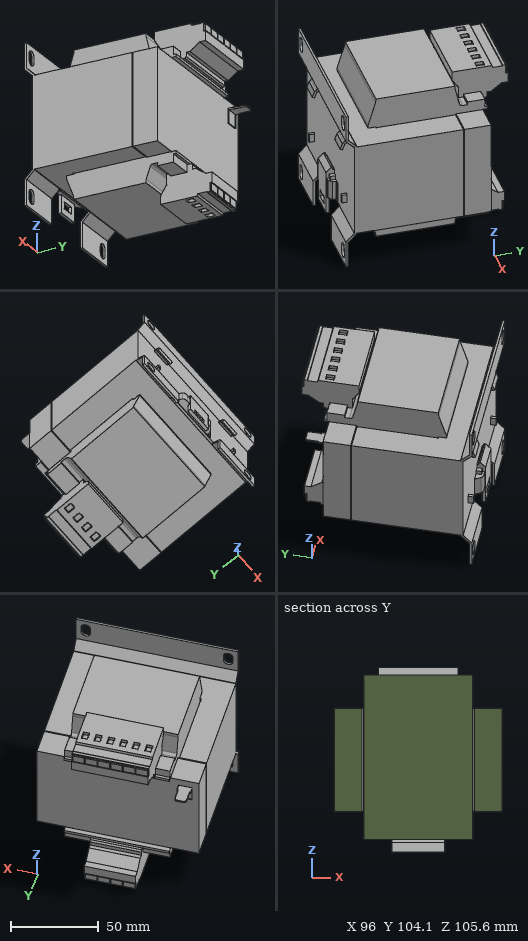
import cadquery as cq
import math


WIDTH = 96.0
CORE_HALF_HEIGHT = 29.6
CORE_BACK_Y = 86.6
JOINT_Y = 70.1
JOINT_GAP = 0.4
JOINT_DEPTH = 0.3
WINDOW_FRONT_Y = 22.9
WINDOW_HALF_WIDTH = 32.0

SHEET = 1.5
PLATE_Y = 5.1
PLATE_BEND_Z = 29.4
PLATE_HALF_HEIGHT = 51.2
NOTCH_HALF_WIDTH = 18.1
SLOT_X = 42.1
SLOT_Z = 43.5
SLOT_WIDTH = 5.5
SLOT_LENGTH = 9.1

HOOK_X = 28.1
HOOK_WIDTH = 11.0
NUB_X = 32.7
NUB_WIDTH = 1.7
NUB_DEPTH = 3.2
NUB_TOP_Z = -11.8
NUB_HEIGHT = 5.2

CLIP_HALF_WIDTH = 7.8
CLIP_THICKNESS = 2.0
CLIP_TOP_Z = -9.2
CLIP_BOTTOM_Z = -39.8
CLIP_WINDOW_WIDTH = 8.1
CLIP_WINDOW_HEIGHT = 4.2
CLIP_WINDOW_Z = -33.6
GUIDE_TOP_Z = -16.0
GUIDE_BOTTOM_Z = -28.3
GUIDE_FOOT_Y = 4.6
CLIP_BLOCK_HALF_WIDTH = 10.3
CLIP_BLOCK_TOP_Z = -13.6
CLIP_BLOCK_Y = 1.9

COIL_WIDTH = 62.3
COIL_TOP_Z = 48.6
COIL_BOTTOM_Z = 45.4
COIL_EDGE_HEIGHT = 2.1
LEDGE_FLOOR_Z = 34.5
LEDGE_TOP_Z = 36.4
LEDGE_LIP_Z = 31.3
LEDGE_BACK_Y = 87.8

TERMINAL_TOP_Z = 52.8
POLE_PITCH = 7.5
TOP_POLES = 6
BOTTOM_POLES = 4
TERMINAL_SIDE_WALL = 0.4
ENTRY_WIDTH = 3.5
ENTRY_LENGTH = 4.8
ENTRY_Y = 88.3
ENTRY_DEPTH = 2.1
LABEL_WIDTH = 6.9
LABEL_THICKNESS = 0.8
LABEL_SEAT_Y = 102.7
LABEL_BOTTOM_Z = 46.3
LABEL_TOP_Z = 50.9

TAB_X = -39.9
TAB_WIDTH = 6.9
TAB_TIP_Y = 98.0
TAB_TOP_Z = 24.8
TAB_THICKNESS = 1.1
TAB_CORNER = 1.5
TAB_BASE_WIDTH = 8.1
TAB_BASE_END_Y = 90.1
TAB_FOOT_THICKNESS = 0.5
TAB_FOOT_Z = 15.3


def block(x_range, y_range, z_range):
    """Box between the given limits."""
    (x0, x1), (y0, y1), (z0, z1) = x_range, y_range, z_range
    return cq.Workplane("XY").box(x1 - x0, y1 - y0, z1 - z0, centered=False).translate((x0, y0, z0))


def side_extrusion(points, width, center_x=0):
    """Closed (y, z) outline extruded along X, centred on center_x."""
    outline = cq.Workplane("YZ").polyline(points).close()
    return outline.extrude(width / 2, both=True).translate((center_x, 0, 0))


def make_core():
    half = WIDTH / 2
    height = (-CORE_HALF_HEIGHT, CORE_HALF_HEIGHT)
    front_y = PLATE_Y + SHEET
    legs = block((-half, half), (front_y, JOINT_Y), height)
    window = block((-WINDOW_HALF_WIDTH, WINDOW_HALF_WIDTH), (WINDOW_FRONT_Y, JOINT_Y), height)
    yoke = block((-half, half), (JOINT_Y + JOINT_GAP, CORE_BACK_Y), height)
    inset = half - JOINT_DEPTH
    inset_z = CORE_HALF_HEIGHT - JOINT_DEPTH
    joint = block((-inset, inset), (JOINT_Y, JOINT_Y + JOINT_GAP), (-inset_z, inset_z))
    return legs.cut(window).union(joint).union(yoke)


def make_coil():
    """Winding in the core window plus the overhanging former above and below the core."""
    half = COIL_WIDTH / 2
    coil = block(
        (-half, half), (WINDOW_FRONT_Y, JOINT_Y + JOINT_GAP), (-CORE_HALF_HEIGHT, CORE_HALF_HEIGHT)
    )
    top = make_former(COIL_TOP_Z)
    bottom = make_former(COIL_BOTTOM_Z).mirror("XY")
    return coil.union(top).union(bottom)


def make_former(top_z):
    """Former above the core: sloping winding cover, rounded dip and terminal ledge."""
    edge_z = top_z - COIL_EDGE_HEIGHT
    return (
        cq.Workplane("YZ")
        .moveTo(18.2, CORE_HALF_HEIGHT)
        .lineTo(18.2, 31.5)
        .lineTo(22.7, edge_z)
        .lineTo(22.9, top_z)
        .lineTo(69.9, top_z)
        .lineTo(70.0, edge_z)
        .lineTo(72.8, 35.7)
        .threePointArc((73.5, 34.8), (74.7, LEDGE_FLOOR_Z))
        .lineTo(77.4, LEDGE_FLOOR_Z)
        .lineTo(77.4, LEDGE_TOP_Z)
        .lineTo(LEDGE_BACK_Y, LEDGE_TOP_Z)
        .lineTo(LEDGE_BACK_Y, LEDGE_LIP_Z)
        .lineTo(89.4, LEDGE_LIP_Z)
        .lineTo(89.4, CORE_HALF_HEIGHT)
        .close()
        .extrude(COIL_WIDTH / 2, both=True)
    )


def make_terminals(poles):
    """Row of terminals above the core, with one wire entry and one label strip per pole."""
    outline = [
        (70.8, TERMINAL_TOP_Z),
        (94.4, TERMINAL_TOP_Z),
        (94.9, 51.4),
        (100.7, 51.4),
        (100.8, 51.8),
        (LABEL_SEAT_Y, 51.8),
        (LABEL_SEAT_Y, LABEL_BOTTOM_Z),
        (104.1, LABEL_BOTTOM_Z),
        (104.1, 39.8),
        (100.2, 39.8),
        (93.9, 35.2),
        (91.6, 35.2),
        (91.6, 32.5),
        (90.6, 31.6),
        (LEDGE_BACK_Y, 31.6),
        (LEDGE_BACK_Y, LEDGE_FLOOR_Z),
        (74.6, LEDGE_FLOOR_Z),
        (74.6, 41.4),
        (70.8, 47.2),
    ]
    row = side_extrusion(outline, poles * POLE_PITCH + TERMINAL_SIDE_WALL)
    pole_x = [(i - (poles - 1) / 2) * POLE_PITCH for i in range(poles)]
    for x in pole_x:
        label = block(
            (x - LABEL_WIDTH / 2, x + LABEL_WIDTH / 2),
            (LABEL_SEAT_Y, LABEL_SEAT_Y + LABEL_THICKNESS),
            (LABEL_BOTTOM_Z, LABEL_TOP_Z),
        )
        row = row.union(label)
    entries = (
        cq.Workplane("XY", origin=(0, 0, TERMINAL_TOP_Z))
        .pushPoints([(x, ENTRY_Y) for x in pole_x])
        .rect(ENTRY_WIDTH, ENTRY_LENGTH)
        .extrude(-ENTRY_DEPTH)
    )
    return row.cut(entries)


def make_plate():
    """Mounting plate with both flanges bent 45 degrees forward to the mounting face."""
    bend_shift = SHEET * math.tan(math.radians(22.5))
    outer = [(0, PLATE_HALF_HEIGHT), (0, PLATE_BEND_Z + PLATE_Y), (PLATE_Y, PLATE_BEND_Z)]
    inner = [
        (PLATE_Y + SHEET, PLATE_BEND_Z + bend_shift),
        (SHEET, PLATE_BEND_Z + PLATE_Y + bend_shift),
        (SHEET, PLATE_HALF_HEIGHT),
    ]
    lower_outer = [(y, -z) for y, z in reversed(outer)]
    lower_inner = [(y, -z) for y, z in reversed(inner)]
    plate = side_extrusion(outer + lower_outer + lower_inner + inner, WIDTH)
    notch = block(
        (-NOTCH_HALF_WIDTH, NOTCH_HALF_WIDTH),
        (0, PLATE_Y + SHEET),
        (-PLATE_HALF_HEIGHT, -PLATE_BEND_Z),
    )
    slots = (
        cq.Workplane("XZ")
        .rect(2 * SLOT_X, 2 * SLOT_Z, forConstruction=True)
        .vertices()
        .slot2D(SLOT_LENGTH, SLOT_WIDTH, 90)
        .extrude(-SHEET)
    )
    return plate.cut(notch).cut(slots)


def make_hook(x):
    outline = [
        (PLATE_Y, 25.6),
        (3.3, 24.5),
        (2.2, 23.4),
        (0.8, 20.0),
        (2.2, 19.3),
        (3.6, 22.8),
        (PLATE_Y, 23.7),
    ]
    return side_extrusion(outline, HOOK_WIDTH, x)


def make_nub(x):
    return block(
        (x - NUB_WIDTH / 2, x + NUB_WIDTH / 2),
        (PLATE_Y - NUB_DEPTH, PLATE_Y),
        (NUB_TOP_Z - NUB_HEIGHT, NUB_TOP_Z),
    )


def make_clip():
    """Sliding rail clip with a release window and a guide: rounded on one side, footed on the other."""
    body_outline = [
        (0, CLIP_BOTTOM_Z),
        (0, -12.2),
        (3.2, CLIP_TOP_Z),
        (4.1, CLIP_TOP_Z),
        (4.1, -10.9),
        (PLATE_Y, -10.9),
        (PLATE_Y, GUIDE_BOTTOM_Z),
        (CLIP_THICKNESS, GUIDE_BOTTOM_Z),
        (CLIP_THICKNESS, CLIP_BOTTOM_Z),
    ]
    body = side_extrusion(body_outline, 2 * CLIP_HALF_WIDTH)
    release_window = block(
        (-CLIP_WINDOW_WIDTH / 2, CLIP_WINDOW_WIDTH / 2),
        (0, CLIP_THICKNESS),
        (CLIP_WINDOW_Z - CLIP_WINDOW_HEIGHT / 2, CLIP_WINDOW_Z + CLIP_WINDOW_HEIGHT / 2),
    )
    guide = (
        cq.Workplane("XY", origin=(0, 0, GUIDE_BOTTOM_Z))
        .moveTo(-14.8, PLATE_Y)
        .lineTo(-12.9, 1.7)
        .threePointArc((-11.8, 0.8), (-10.0, 0.5))
        .lineTo(10.0, 0.5)
        .lineTo(12.5, 2.5)
        .lineTo(12.5, GUIDE_FOOT_Y)
        .lineTo(14.8, GUIDE_FOOT_Y)
        .lineTo(14.8, PLATE_Y)
        .close()
        .extrude(GUIDE_TOP_Z - GUIDE_BOTTOM_Z)
    )
    slider = block(
        (-CLIP_BLOCK_HALF_WIDTH, CLIP_BLOCK_HALF_WIDTH),
        (CLIP_BLOCK_Y, PLATE_Y),
        (GUIDE_TOP_Z, CLIP_BLOCK_TOP_Z),
    )
    return body.cut(release_window).union(guide).union(slider)


def make_earth_tab():
    """L-shaped tab lying on the back of the core, with a rounded blade."""
    z_range = (TAB_TOP_Z - TAB_THICKNESS, TAB_TOP_Z)
    half = TAB_WIDTH / 2
    base_half = TAB_BASE_WIDTH / 2
    blade = block((TAB_X - half, TAB_X + half), (CORE_BACK_Y, TAB_TIP_Y), z_range)
    blade = blade.edges("|Z and >Y").fillet(TAB_CORNER)
    base = block((TAB_X - base_half, TAB_X + base_half), (CORE_BACK_Y, TAB_BASE_END_Y), z_range)
    foot = block(
        (TAB_X - base_half, TAB_X + base_half),
        (CORE_BACK_Y, CORE_BACK_Y + TAB_FOOT_THICKNESS),
        (TAB_FOOT_Z, TAB_TOP_Z),
    )
    return blade.union(base).union(foot)


result = make_core().union(make_coil()).union(make_plate())
result = result.union(make_terminals(TOP_POLES))
result = result.union(make_terminals(BOTTOM_POLES).mirror("XY"))
for side in (-1, 1):
    result = result.union(make_hook(side * HOOK_X)).union(make_nub(side * NUB_X))
result = result.union(make_clip()).union(make_earth_tab())